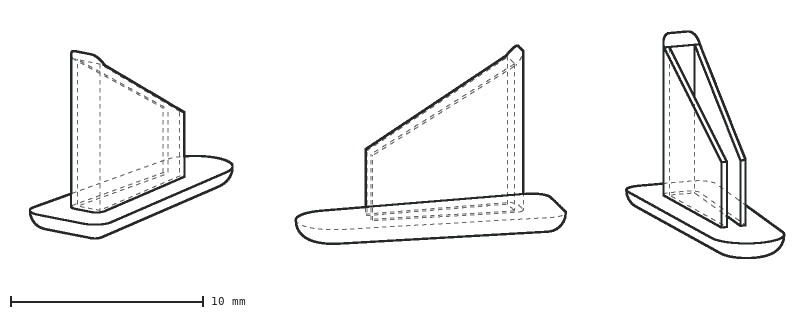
import cadquery as cq
import math

base_length = 14.0
base_width = 4.9
base_thickness = 1.0
nose_radius = 1.96
corner_radius = 1.0
underside_radius = 0.98

front_y = 2.0
back_y = 10.14
slab_thickness = 0.5
upright_front_half = 1.0
upright_back_half = 0.67
wall_width = 0.3
upright_corner_radius = 0.49
peak_height = 8.51
shoulder_height = 7.9
back_height = 3.49

slab_back_y = front_y + slab_thickness


def on_circle(center, radius, angle):
    return (center[0] + radius * math.cos(angle), center[1] + radius * math.sin(angle))


def mirrored(point):
    return (-point[0], point[1])


def make_base():
    corner = (base_width / 2 - corner_radius, corner_radius)
    nose = (0, base_length - nose_radius)
    dx = corner[0] - nose[0]
    dy = nose[1] - corner[1]
    side_angle = math.atan2(dx, dy) + math.asin((corner_radius - nose_radius) / math.hypot(dx, dy))

    corner_start = (corner[0], 0)
    corner_middle = on_circle(corner, corner_radius, (side_angle - math.pi / 2) / 2)
    corner_end = on_circle(corner, corner_radius, side_angle)
    nose_start = on_circle(nose, nose_radius, side_angle)

    return (
        cq.Workplane("XY")
        .moveTo(*mirrored(corner_start))
        .lineTo(*corner_start)
        .threePointArc(corner_middle, corner_end)
        .lineTo(*nose_start)
        .threePointArc((0, base_length), mirrored(nose_start))
        .lineTo(*mirrored(corner_end))
        .threePointArc(mirrored(corner_middle), mirrored(corner_start))
        .close()
        .extrude(-base_thickness)
        .faces("<Z")
        .edges()
        .fillet(underside_radius)
    )


def trapezoid(y_start, y_end, half_start, half_end):
    """Full-height prism, symmetric about X = 0, tapering along Y."""
    corners = [(-half_start, y_start), (half_start, y_start), (half_end, y_end), (-half_end, y_end)]
    return cq.Workplane("XY").polyline(corners).close().extrude(peak_height)


def make_upright():
    slab = (
        trapezoid(front_y, slab_back_y, upright_front_half, upright_front_half)
        .edges("|Z and <Y")
        .fillet(upright_corner_radius)
    )
    walls = trapezoid(slab_back_y, back_y, upright_front_half, upright_back_half)
    channel = trapezoid(
        slab_back_y, back_y, upright_front_half - wall_width, upright_back_half - wall_width
    )
    side_outline = (
        cq.Workplane("YZ")
        .polyline([
            (front_y, 0),
            (front_y, peak_height),
            (slab_back_y, shoulder_height),
            (back_y, back_height),
            (back_y, 0),
        ])
        .close()
        .extrude(upright_front_half, both=True)
    )
    return slab.union(walls.cut(channel)).intersect(side_outline)


part = make_base().union(make_upright())
result = part.translate((0, -base_length / 2, base_thickness))